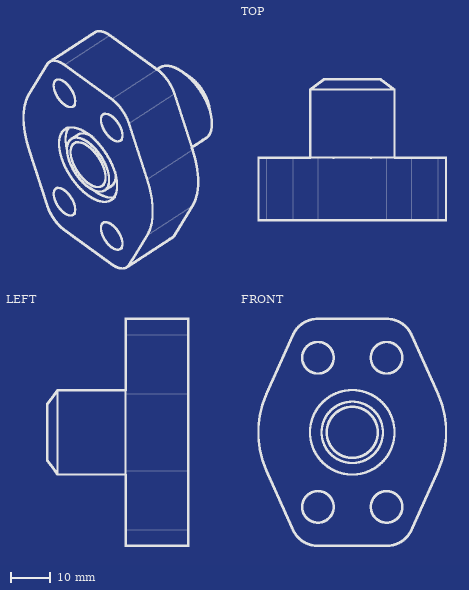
import cadquery as cq
import math

height = 58.0
width = 48.0
plate_thickness = 16.0
corner_radius = 7.0
hole_x = 8.75
hole_z = 19.0
hole_diameter = 8.0

spigot_diameter = 21.6
spigot_length = 20.0
bevel_length = 2.65
tip_diameter = 14.4
bore_diameter = 13.0

groove_outer_diameter = 21.6
groove_inner_diameter = 15.65
groove_depth = 2.3

side_radius = width / 2
corner_x = hole_x
corner_z = height / 2 - corner_radius
centre_distance = math.hypot(corner_x, corner_z)
edge_normal_angle = math.atan2(corner_z, corner_x) - math.acos((side_radius - corner_radius) / centre_distance)


def on_side_arc(angle):
    return side_radius * math.cos(angle), side_radius * math.sin(angle)


def on_corner_arc(angle):
    return corner_x + corner_radius * math.cos(angle), corner_z + corner_radius * math.sin(angle)


def mirrored(point, x_sign, z_sign):
    return x_sign * point[0], z_sign * point[1]


side_end = on_side_arc(edge_normal_angle)
corner_start = on_corner_arc(edge_normal_angle)
corner_middle = on_corner_arc((edge_normal_angle + math.pi / 2) / 2)
corner_end = on_corner_arc(math.pi / 2)


def make_plate():
    outline = (
        cq.Workplane("XZ")
        .moveTo(*mirrored(side_end, 1, -1))
        .threePointArc((side_radius, 0), side_end)
        .lineTo(*corner_start)
        .threePointArc(corner_middle, corner_end)
        .lineTo(*mirrored(corner_end, -1, 1))
        .threePointArc(mirrored(corner_middle, -1, 1), mirrored(corner_start, -1, 1))
        .lineTo(*mirrored(side_end, -1, 1))
        .threePointArc((-side_radius, 0), mirrored(side_end, -1, -1))
        .lineTo(*mirrored(corner_start, -1, -1))
        .threePointArc(mirrored(corner_middle, -1, -1), mirrored(corner_end, -1, -1))
        .lineTo(*mirrored(corner_end, 1, -1))
        .threePointArc(mirrored(corner_middle, 1, -1), mirrored(corner_start, 1, -1))
        .close()
    )
    plate = outline.extrude(-plate_thickness)
    bolt_holes = (
        cq.Workplane("XZ")
        .rect(2 * hole_x, 2 * hole_z, forConstruction=True)
        .vertices()
        .circle(hole_diameter / 2)
        .extrude(-plate_thickness)
    )
    return plate.cut(bolt_holes)


def make_spigot():
    end_y = plate_thickness + spigot_length
    return (
        cq.Workplane("XY")
        .moveTo(0, plate_thickness)
        .lineTo(spigot_diameter / 2, plate_thickness)
        .lineTo(spigot_diameter / 2, end_y - bevel_length)
        .lineTo(tip_diameter / 2, end_y)
        .lineTo(0, end_y)
        .close()
        .revolve(360, (0, 0, 0), (0, 1, 0))
    )


def make_bore():
    return cq.Workplane("XZ").circle(bore_diameter / 2).extrude(-(plate_thickness + spigot_length))


def make_seal_groove():
    return (
        cq.Workplane("XZ")
        .circle(groove_outer_diameter / 2)
        .circle(groove_inner_diameter / 2)
        .extrude(-groove_depth)
    )


result = make_plate().union(make_spigot()).cut(make_bore()).cut(make_seal_groove())